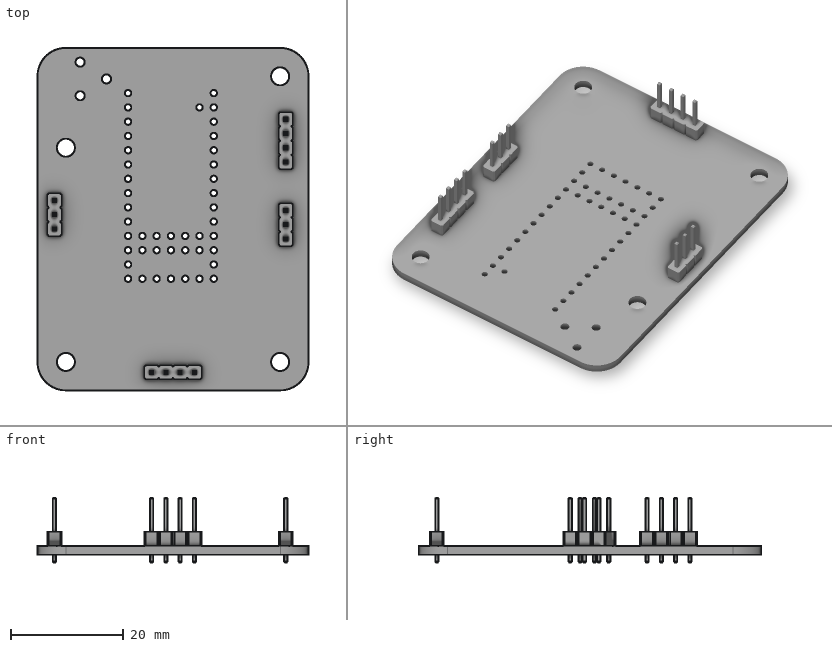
import cadquery as cq

board_length = 60.95
pitch = board_length / 24
board_width = 19 * pitch
board_thickness = 1.6
corner_radius = 2 * pitch

mount_diameter = 3.2
mount_x = board_width / 2 - corner_radius
mount_y = board_length / 2 - corner_radius
mount_setback = 5 * pitch
mount_points = [
    (-mount_x, -mount_y),
    (mount_x, -mount_y),
    (mount_x, mount_y),
    (-mount_x, mount_y - mount_setback),
]

jack_diameter = 1.6
jack_x = -16.5
jack_y = 24.95
jack_spacing = 6.0
jack_offset = 4.7
jack_points = [
    (jack_x, jack_y + jack_spacing / 2),
    (jack_x, jack_y - jack_spacing / 2),
    (jack_x + jack_offset, jack_y),
]

module_diameter = 1.1
module_left = -8.0
module_bottom = -10.6
module_rows = 14
last_column = 6
cross_rows = [0, 2, 3]
extra_hole = (last_column - 1, module_rows - 2)

header_height = pitch
segment_chamfer = 0.275
pin_width = pitch / 4
pin_above = 6.05
header_total_height = 11.5
pin_below = header_total_height - header_height - pin_above
pin_tip_chamfer = 0.2
pin_hole_diameter = 1.0

headers = [
    (20.05, 13.95, 4, False),
    (20.05, -1.0, 3, False),
    (-21.1, 0.8, 3, False),
    (0.0, -27.25, 4, True),
]


def pin_points(center_x, center_y, count, along_x):
    """Pin centres of one header."""
    offsets = [(i - (count - 1) / 2) * pitch for i in range(count)]
    if along_x:
        return [(center_x + offset, center_y) for offset in offsets]
    return [(center_x, center_y + offset) for offset in offsets]


def module_points():
    """Centres of all the module holes, given by column and row on the pitch grid."""
    cells = [(column, row) for column in (0, last_column) for row in range(module_rows)]
    cells += [(column, row) for column in range(1, last_column) for row in cross_rows]
    cells.append(extra_hole)
    return [(module_left + column * pitch, module_bottom + row * pitch) for column, row in cells]


def make_board():
    """Rounded board with every through hole."""
    board = (
        cq.Workplane("XY")
        .rect(board_width, board_length)
        .extrude(board_thickness)
        .edges("|Z")
        .fillet(corner_radius)
    )
    header_points = [point for header in headers for point in pin_points(*header)]
    hole_groups = [
        (mount_points, mount_diameter),
        (jack_points, jack_diameter),
        (module_points(), module_diameter),
        (header_points, pin_hole_diameter),
    ]
    for points, diameter in hole_groups:
        holes = cq.Workplane("XY").pushPoints(points).circle(diameter / 2).extrude(board_thickness)
        board = board.cut(holes)
    return board


def make_header(center_x, center_y, count, along_x):
    """One header: chamfered block segments joined in a row, each with a square pin through it."""
    segment = (
        cq.Workplane("XY", origin=(0, 0, board_thickness))
        .rect(pitch, pitch)
        .extrude(header_height)
        .edges("|Z")
        .chamfer(segment_chamfer)
    )
    pin = (
        cq.Workplane("XY", origin=(0, 0, board_thickness - pin_below))
        .rect(pin_width, pin_width)
        .extrude(header_total_height)
        .faces("<Z or >Z")
        .chamfer(pin_tip_chamfer)
    )
    unit = segment.union(pin)
    header = cq.Workplane("XY")
    for x, y in pin_points(center_x, center_y, count, along_x):
        header = header.union(unit.translate((x, y, 0)))
    return header


board = make_board()
pin_headers = [make_header(*header) for header in headers]

result = cq.Compound.makeCompound([board.solids().val(), *[header.solids().val() for header in pin_headers]])